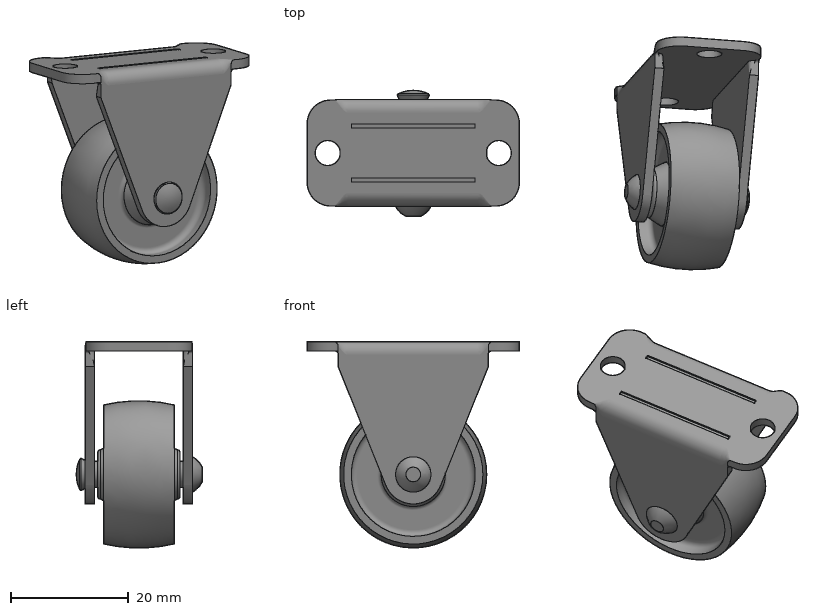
import cadquery as cq
import math


plate_length = 36.0
plate_width = 18.0
sheet = 1.6
plate_corner_radius = 4.0
mount_hole_diameter = 4.2
mount_hole_spacing = 29.0

groove_length = 21.0
groove_width = 0.7
groove_offset = 4.6
groove_depth = 0.3

leg_inner_gap = 15.0
leg_outer = leg_inner_gap / 2 + sheet
leg_half_width = 12.75
leg_shoulder_z = -4.2
leg_tip_radius = 5.0
relief_radius = 0.45
leg_edge_round = 1.0
leg_edge_round_tip = 0.02

bend_radius = 2.25
bend_full_half_length = 11.1
bend_runout_length = 2.6
bend_runout_start = 0.1
bend_runout_sections = 6

total_height = 35.0
wheel_radius = 12.5
wheel_half_width = 6.0
wheel_edge_radius = 11.8
axle_z = wheel_radius - total_height
recess_radius = 10.5
recess_fillet = 1.0
recess_depth = 2.4
hub_half_length = 7.0
hub_neck_radius = 4.2
hub_edge_fillet = 0.5
hub_root_radius = 6.1
hub_root_fillet = 0.66

axle_radius = 2.25
front_head_radius = 3.0
front_head_flat_radius = 1.24
front_head_height = 1.66
front_head_mid_radius = 2.3
front_head_mid_height = 0.92
rivet_base_radius = 2.4
rivet_rim_radius = 2.75
rivet_flare_height = 0.7
rivet_dome_base_radius = 2.57
rivet_dome_base_height = 0.95
total_width = 21.41
rivet_height = total_width - 2 * leg_outer - front_head_height


def revolve_on_axle(profile):
    """Turn a closed (radius, Y) profile about the axle line."""
    return profile.close().revolve(360, (0, 0, 0), (0, 1, 0)).translate((0, 0, axle_z))


def axle_hole_cutter():
    return cq.Workplane("XZ", origin=(0, 0, axle_z)).circle(axle_radius).extrude(plate_width, both=True)


def mounting_plate():
    plate = cq.Workplane("XY").box(plate_length, plate_width, sheet, centered=(True, True, False))
    return plate.translate((0, 0, -sheet)).edges("|Z").fillet(plate_corner_radius)


def bend_strip():
    """Sheet joining the legs, its corners flowing into the plate edge with a small concave arc."""
    blend_start = leg_half_width + relief_radius
    blend_end = leg_half_width
    edge = plate_width / 2
    step = leg_outer - edge
    blend_radius = (relief_radius**2 + step**2) / (2 * step)
    half_angle = math.asin(relief_radius / blend_radius) / 2
    mid_x = blend_start - blend_radius * math.sin(half_angle)
    mid_y = edge + blend_radius * (1 - math.cos(half_angle))
    outline = (
        cq.Workplane("XY")
        .moveTo(-blend_start, -edge)
        .threePointArc((-mid_x, -mid_y), (-blend_end, -leg_outer))
        .lineTo(blend_end, -leg_outer)
        .threePointArc((mid_x, -mid_y), (blend_start, -edge))
        .lineTo(blend_start, edge)
        .threePointArc((mid_x, mid_y), (blend_end, leg_outer))
        .lineTo(-blend_end, leg_outer)
        .threePointArc((-mid_x, mid_y), (-blend_start, edge))
        .close()
    )
    return outline.extrude(-sheet)


def legs():
    """Both legs: shouldered at the plate, then tapering tangentially onto a round tip at the axle."""
    shoulder_drop = leg_shoulder_z - axle_z
    shoulder_distance = math.hypot(leg_half_width, shoulder_drop)
    tangent_angle = math.atan2(shoulder_drop, leg_half_width) - math.acos(leg_tip_radius / shoulder_distance)
    tangent_x = leg_tip_radius * math.cos(tangent_angle)
    tangent_z = axle_z + leg_tip_radius * math.sin(tangent_angle)
    blend_x = leg_half_width + relief_radius
    blend_z = -sheet - relief_radius
    arc_inset = relief_radius * (1 - math.sqrt(0.5))
    blend_mid = (leg_half_width + arc_inset, -sheet - arc_inset)
    block = (
        cq.Workplane("XZ")
        .moveTo(-blend_x, -sheet)
        .threePointArc((-blend_mid[0], blend_mid[1]), (-leg_half_width, blend_z))
        .lineTo(-leg_half_width, leg_shoulder_z)
        .lineTo(-tangent_x, tangent_z)
        .threePointArc((0, axle_z - leg_tip_radius), (tangent_x, tangent_z))
        .lineTo(leg_half_width, leg_shoulder_z)
        .lineTo(leg_half_width, blend_z)
        .threePointArc(blend_mid, (blend_x, -sheet))
        .close()
        .extrude(leg_outer, both=True)
    )
    gap = cq.Workplane("XY").box(plate_length, leg_inner_gap, 2 * total_height)
    return block.cut(gap)


def leg_edge_section(z, radius):
    """Wire of the corner material outside the round on one inner leg edge, at one height."""
    inner_y = leg_inner_gap / 2
    outside_x = leg_half_width + relief_radius
    arc_inset = radius * (1 - math.sqrt(0.5))
    section = (
        cq.Workplane("XY", origin=(0, 0, z))
        .moveTo(outside_x, inner_y)
        .lineTo(leg_half_width - radius, inner_y)
        .threePointArc((leg_half_width - arc_inset, inner_y + arc_inset), (leg_half_width, inner_y + radius))
        .lineTo(outside_x, inner_y + radius)
        .close()
    )
    return section.val()


def leg_edge_cutters():
    """Rounds on the four inner leg edges, largest under the plate and fading out at the shoulder."""
    sections = [leg_edge_section(-sheet, leg_edge_round), leg_edge_section(leg_shoulder_z, leg_edge_round_tip)]
    cutter = cq.Workplane(cq.Solid.makeLoft(sections, True))
    pair = cutter.union(cutter.mirror("YZ"))
    return pair.union(pair.mirror("XZ"))


def bend_section(x, scale):
    """Wire of the corner material outside the bend radius, at one place along X."""
    radius = bend_radius * scale
    arc_inset = radius * (1 - math.sqrt(0.5))
    section = (
        cq.Workplane("YZ", origin=(x, 0, 0))
        .moveTo(leg_outer, 0)
        .lineTo(leg_outer, -radius)
        .threePointArc((leg_outer - arc_inset, -arc_inset), (leg_outer - radius, 0))
        .close()
    )
    return section.val()


def bend_cutter():
    """Corner material removed from the +Y bend; the ends taper out to the sharp corner."""
    full = bend_full_half_length
    middle = cq.Solid.makeLoft([bend_section(-full, 1), bend_section(full, 1)], True)
    cutter = cq.Workplane(middle)
    for side in (-1, 1):
        sections = []
        for index in range(bend_runout_sections):
            progress = bend_runout_start + (1 - bend_runout_start) * index / (bend_runout_sections - 1)
            x = full + bend_runout_length * (1 - progress)
            sections.append(bend_section(side * x, progress**2 * (3 - 2 * progress)))
        cutter = cutter.union(cq.Workplane(cq.Solid.makeLoft(sections, False)))
    return cutter


def make_bracket():
    body = mounting_plate().union(bend_strip()).union(legs())
    corner = bend_cutter()
    body = body.cut(corner).cut(corner.mirror("XZ"))
    holes = (
        cq.Workplane("XY")
        .pushPoints([(-mount_hole_spacing / 2, 0), (mount_hole_spacing / 2, 0)])
        .circle(mount_hole_diameter / 2)
        .extrude(-sheet)
    )
    grooves = (
        cq.Workplane("XY")
        .pushPoints([(0, -groove_offset), (0, groove_offset)])
        .rect(groove_length, groove_width)
        .extrude(-groove_depth)
    )
    return body.cut(leg_edge_cutters()).cut(holes).cut(grooves).cut(axle_hole_cutter())


def arc_points(centre, radius, start_degrees, end_degrees):
    """Middle and end points of an arc about `centre`, for threePointArc."""
    middle_degrees = (start_degrees + end_degrees) / 2
    return [
        (
            centre[0] + radius * math.cos(math.radians(degrees)),
            centre[1] + radius * math.sin(math.radians(degrees)),
        )
        for degrees in (middle_degrees, end_degrees)
    ]


def wheel_face_cutter():
    """Material cleared from the +Y face, leaving the flat rim, the dished recess and the tapered hub."""
    floor_y = wheel_half_width - recess_depth
    hub_edge_centre = (hub_neck_radius - hub_edge_fillet, hub_half_length - hub_edge_fillet)
    hub_root_centre = (hub_root_radius, floor_y + hub_root_fillet)
    recess_corner_centre = (recess_radius - recess_fillet, floor_y + recess_fillet)
    profile = (
        cq.Workplane("XY")
        .moveTo(hub_edge_centre[0], hub_half_length)
        .threePointArc(*arc_points(hub_edge_centre, hub_edge_fillet, 90, 0))
        .lineTo(hub_root_radius - hub_root_fillet, hub_root_centre[1])
        .threePointArc(*arc_points(hub_root_centre, hub_root_fillet, 180, 270))
        .lineTo(recess_corner_centre[0], floor_y)
        .threePointArc(*arc_points(recess_corner_centre, recess_fillet, 270, 360))
        .lineTo(recess_radius, wheel_half_width)
        .lineTo(wheel_radius, wheel_half_width)
        .lineTo(wheel_radius, hub_half_length)
    )
    return revolve_on_axle(profile)


def make_wheel():
    """Crowned wheel with a dished recess and a projecting hub on each face."""
    blank_profile = (
        cq.Workplane("XY")
        .moveTo(axle_radius, -hub_half_length)
        .lineTo(wheel_edge_radius, -hub_half_length)
        .lineTo(wheel_edge_radius, -wheel_half_width)
        .threePointArc((wheel_radius, 0), (wheel_edge_radius, wheel_half_width))
        .lineTo(wheel_edge_radius, hub_half_length)
        .lineTo(axle_radius, hub_half_length)
    )
    face_cutter = wheel_face_cutter()
    return revolve_on_axle(blank_profile).cut(face_cutter).cut(face_cutter.mirror("XZ"))


def make_axle():
    """Plain pin with a truncated dome on the -Y end and a flared, domed rivet head on the +Y end."""
    dome_rise = rivet_height - rivet_dome_base_height
    rivet_sphere = (rivet_dome_base_radius**2 + dome_rise**2) / (2 * dome_rise)
    dome_mid_radius = rivet_dome_base_radius / 2
    dome_mid_drop = rivet_sphere - math.sqrt(rivet_sphere**2 - dome_mid_radius**2)
    rivet_top = leg_outer + rivet_height
    front_head_mid = (front_head_mid_radius, -leg_outer - front_head_mid_height)
    profile = (
        cq.Workplane("XY")
        .moveTo(0, -leg_outer - front_head_height)
        .lineTo(front_head_flat_radius, -leg_outer - front_head_height)
        .threePointArc(front_head_mid, (front_head_radius, -leg_outer))
        .lineTo(axle_radius, -leg_outer)
        .lineTo(axle_radius, leg_outer)
        .lineTo(rivet_base_radius, leg_outer)
        .lineTo(rivet_rim_radius, leg_outer + rivet_flare_height)
        .lineTo(rivet_dome_base_radius, leg_outer + rivet_dome_base_height)
        .threePointArc((dome_mid_radius, rivet_top - dome_mid_drop), (0, rivet_top))
    )
    return revolve_on_axle(profile)


bracket = make_bracket()
wheel = make_wheel()
axle = make_axle()

result = cq.Compound.makeCompound([bracket.val(), wheel.val(), axle.val()])